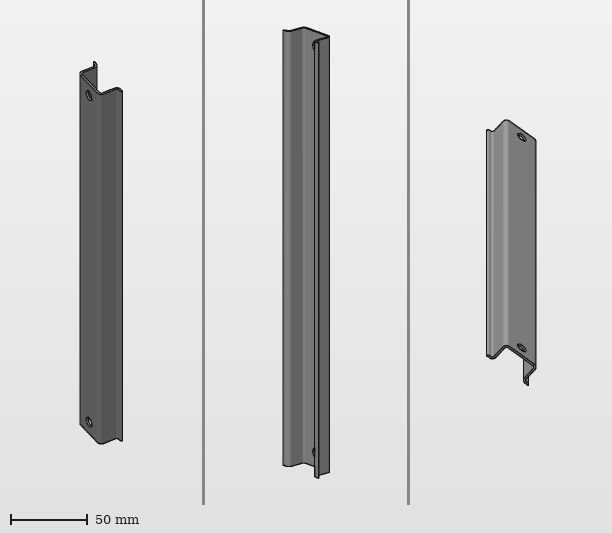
import cadquery as cq

length = 300.0
overall_width = 35.0
depth = 15.0
channel_width = 27.0
thickness = 1.5
inner_radius = 1.5
outer_radius = inner_radius + thickness
lip_edge_radius = 1.45

hole_diameter = 7.0
hole_end_distance = 10.0

front = -depth / 2
back = depth / 2


def block(width, y_start, y_end):
    """Full-length block centred on X, spanning y_start to y_end."""
    y_middle = (y_start + y_end) / 2
    return cq.Workplane("XY").box(width, y_end - y_start, length).translate((0, y_middle, 0))


def round_corners(body, half_width, y, radius):
    """Fillet the two lengthwise edges at X = +/-half_width and the given Y."""
    reach = thickness / 4
    corners = []
    for x in (-half_width, half_width):
        near_corner = cq.selectors.BoxSelector(
            (x - reach, y - reach, -length),
            (x + reach, y + reach, length),
        )
        corners += body.edges("|Z").edges(near_corner).vals()
    return body.newObject(corners).fillet(radius)


outer_half = channel_width / 2
inner_half = outer_half - thickness
rail = block(channel_width, front, back)
rail = rail.union(block(overall_width, back - thickness, back))
rail = rail.cut(block(2 * inner_half, front + thickness, back))

rail = round_corners(rail, outer_half, front, outer_radius)
rail = round_corners(rail, inner_half, front + thickness, inner_radius)
rail = round_corners(rail, inner_half, back, outer_radius)
rail = round_corners(rail, outer_half, back - thickness, inner_radius)

rail = round_corners(rail, overall_width / 2, back - thickness, lip_edge_radius)

hole_spacing = length - 2 * hole_end_distance
holes = (
    cq.Workplane("XZ", origin=(0, back, 0))
    .rarray(3, hole_spacing, 1, 2)
    .circle(hole_diameter / 2)
    .extrude(depth)
)
result = rail.cut(holes)